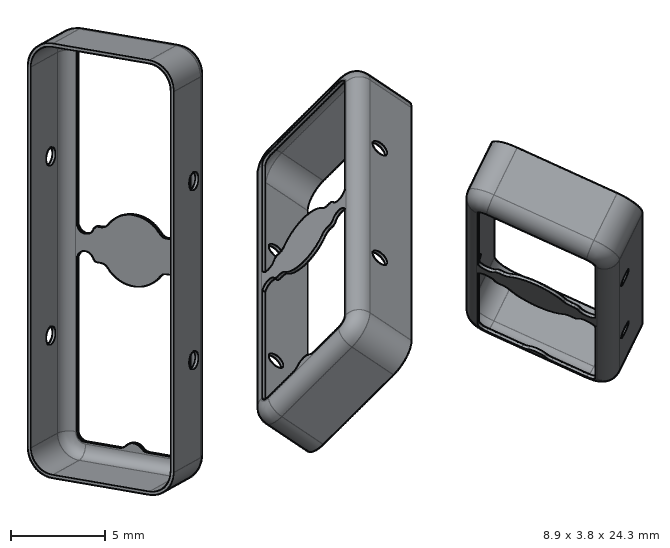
import cadquery as cq
import math

WIDTH = 8.9
DEPTH = 3.8
HEIGHT = 24.3
WALL = 0.2
CORNER_RADIUS = 1.5
BACK_FILLET = 0.9

WINDOW_INSET = 1.0
WINDOW_RADIUS = CORNER_RADIUS - WINDOW_INSET

DISC_RADIUS = 2.0
BAR_HALF_HEIGHT = 1.0
DISC_BLEND_RADIUS = 0.5
NOTCH_RADIUS = 0.5
NOTCH_BLEND_RADIUS = 0.3
NOTCH_X = WIDTH / 2 - WINDOW_INSET - NOTCH_RADIUS

TAB_RADIUS = 0.68
TAB_RISE = 0.4
TAB_BLEND_RADIUS = 0.5

HOLE_DIAMETER = 1.0
HOLE_SPACING = 10.0
HOLE_FROM_BACK = 1.6

BACK_Y = DEPTH / 2
FLOOR_Y = BACK_Y - WALL


def rounded_block(inset, y_start, y_end, radius):
    """Block inset from the outline, with rounded corners, from y_start to y_end."""
    return (
        cq.Workplane("XZ", origin=(0, y_start, 0))
        .rect(WIDTH - 2 * inset, HEIGHT - 2 * inset)
        .extrude(y_start - y_end)
        .edges("|Y")
        .fillet(radius)
    )


def rounded_bump(radius, rise, blend_radius, x, edge_z, direction):
    """Circular bump on a straight edge, as thick as the back wall, flared into the edge by two arcs.

    The bump rises from edge_z along +Z (direction 1) or -Z (direction -1).
    """
    center = rise - radius
    center_distance = radius + blend_radius
    center_angle = math.asin((blend_radius - center) / center_distance)
    blend_x = center_distance * math.cos(center_angle)
    touch_x = radius * math.cos(center_angle)
    touch_h = center + radius * math.sin(center_angle)
    middle_angle = (center_angle + math.pi / 2) / 2
    middle_x = blend_x - blend_radius * math.cos(middle_angle)
    middle_h = blend_radius - blend_radius * math.sin(middle_angle)
    return (
        cq.Workplane("XZ", origin=(x, BACK_Y, edge_z))
        .moveTo(-blend_x, 0)
        .threePointArc((-middle_x, direction * middle_h), (-touch_x, direction * touch_h))
        .threePointArc((0, direction * rise), (touch_x, direction * touch_h))
        .threePointArc((middle_x, direction * middle_h), (blend_x, 0))
        .close()
        .extrude(WALL)
    )


def back_plate_bar(width, height):
    """Rectangle as thick as the back wall, centred on the part."""
    return cq.Workplane("XZ", origin=(0, BACK_Y, 0)).rect(width, height).extrude(WALL)


def make_shell():
    """Thin-walled tray with a rounded back edge and a window in its back wall."""
    outer = rounded_block(0, -DEPTH / 2, BACK_Y, CORNER_RADIUS)
    outer = outer.faces(">Y").edges().fillet(BACK_FILLET)
    cavity = rounded_block(WALL, -DEPTH / 2, FLOOR_Y, CORNER_RADIUS - WALL)
    cavity = cavity.faces(">Y").edges().fillet(BACK_FILLET - WALL)
    window = rounded_block(WINDOW_INSET, -DEPTH / 2, BACK_Y, WINDOW_RADIUS)
    return outer.cut(cavity).cut(window)


def make_bridge():
    """Bar with a central disc blended into its edges and a notch near each end of each edge."""
    bridge = back_plate_bar(WIDTH - 2 * WINDOW_INSET + WALL, 2 * BAR_HALF_HEIGHT)
    for side_z in (-1, 1):
        edge_z = side_z * BAR_HALF_HEIGHT
        disc_rise = DISC_RADIUS - BAR_HALF_HEIGHT
        bridge = bridge.union(rounded_bump(DISC_RADIUS, disc_rise, DISC_BLEND_RADIUS, 0, edge_z, side_z))
        for side_x in (-1, 1):
            notch = rounded_bump(
                NOTCH_RADIUS, NOTCH_RADIUS, NOTCH_BLEND_RADIUS, side_x * NOTCH_X, edge_z, -side_z
            )
            bridge = bridge.cut(notch)
    return bridge


def make_tab():
    """Low rounded tab rising from the lower edge of the window."""
    edge_z = -HEIGHT / 2 + WINDOW_INSET
    return rounded_bump(TAB_RADIUS, TAB_RISE, TAB_BLEND_RADIUS, 0, edge_z, 1)


def make_cross_holes():
    """Cylinders running along X through both long sides."""
    return (
        cq.Workplane("YZ", origin=(-WIDTH / 2, BACK_Y - HOLE_FROM_BACK, 0))
        .pushPoints([(0, -HOLE_SPACING / 2), (0, HOLE_SPACING / 2)])
        .circle(HOLE_DIAMETER / 2)
        .extrude(WIDTH)
    )


result = make_shell().union(make_bridge()).union(make_tab()).cut(make_cross_holes())